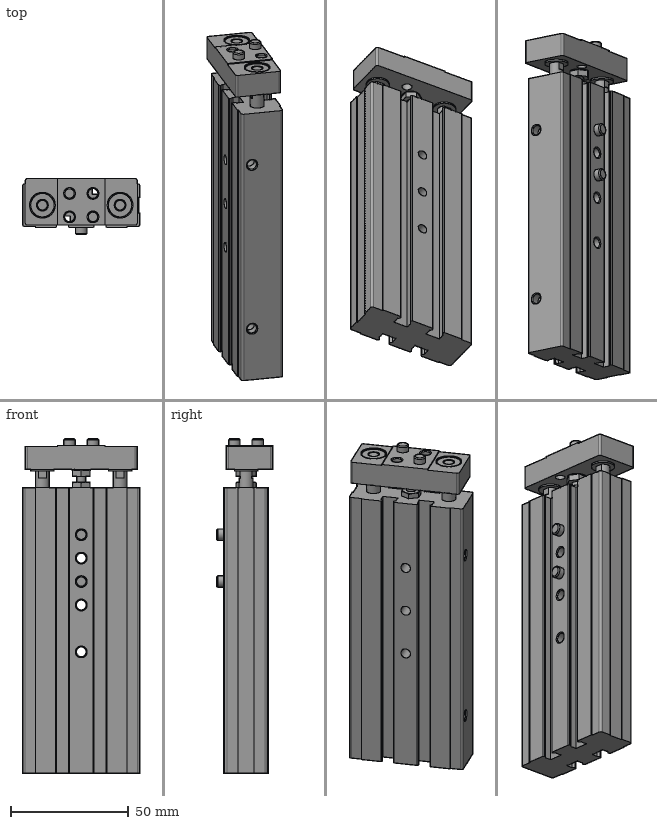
import cadquery as cq
import math


housing_width = 50.0
housing_height = 121.8
body_half_depth = 9.1
pad_half_depth = 9.5
pad_outer_x = 19.5
housing_corner_radius = 1.0
groove_depth = 0.4
groove_bottom_y = -3.4
groove_top_y = 3.3

slot_x = 8.0
slot_opening = 5.0
slot_inner_width = 6.5
slot_floor_y = 4.7
slot_shoulder_y = 7.5
slot_neck_y = 8.5
slot_edge_chamfer = 0.4

hole_diameter = 4.1
countersink_diameter = 5.0
countersink_depth = (countersink_diameter - hole_diameter) / 2
hole_pitch = 10.0
first_hole_drop = 20.1
pin_diameter = 5.0
pin_chamfer = 0.5
pin_seat_depth = 5.0
housing_pin_projection = 3.0
port_y = 4.5
port_upper_drop = 23.5
port_spacing = 74.9
port_depth = 4.3
drill_point_angle = 118

plate_gap = 7.7
plate_width = 47.8
plate_front_y = -8.5
plate_back_y = 11.4
plate_corner_radius = 1.0
plate_shoulder_height = 9.8
plate_land_width = 20.2
plate_land_height = 0.4
plate_hole_offset = hole_pitch / 2
total_height = 142.6

rod_x = 16.5
rod_diameter = 6.0
rod_seat_depth = 14.3
rod_head_diameter = 10.0
rod_collar_height = 0.7
rod_recess_diameter = 11.0
rod_recess_depth = 0.4
rod_centre_depth = 0.1
rod_flats_across = 5.0
rod_flats_height = 3.0

washer_diameter = 8.0
washer_thickness = 0.4
hex_across_flats = 7.5
nut_bottom_drop = 3.0
bolt_diameter = 4.0
bolt_head_height = 2.3
hex_chamfer_angle = 30

plate_bottom_z = housing_height + plate_gap
plate_shoulder_z = plate_bottom_z + plate_shoulder_height
plate_land_z = plate_shoulder_z + plate_land_height
rod_top_z = plate_shoulder_z - rod_recess_depth

first_hole_z = housing_height - first_hole_drop
housing_pin_zs = [first_hole_z - step * hole_pitch for step in (0, 2)]
housing_hole_zs = [first_hole_z - step * hole_pitch for step in (1, 3, 5)]
port_zs = [housing_height - port_upper_drop - step * port_spacing for step in (0, 1)]
plate_pin_points = [(-plate_hole_offset, plate_hole_offset), (plate_hole_offset, -plate_hole_offset)]
plate_hole_points = [(-plate_hole_offset, -plate_hole_offset), (plate_hole_offset, plate_hole_offset)]
rod_xs = [-rod_x, rod_x]

AXIS_X = cq.Vector(1, 0, 0)
AXIS_Y = cq.Vector(0, 1, 0)
AXIS_Z = cq.Vector(0, 0, 1)


def cylinder(diameter, length, start, direction):
    """Cylinder that grows from the start point along the direction."""
    return cq.Workplane(cq.Solid.makeCylinder(diameter / 2, length, cq.Vector(*start), direction))


def drill(depth, start, direction):
    """Countersunk drill shape whose mouth lies at the start point."""
    sink = cq.Solid.makeCone(
        countersink_diameter / 2, hole_diameter / 2, countersink_depth, cq.Vector(*start), direction
    )
    return cylinder(hole_diameter, depth, start, direction).union(cq.Workplane(sink))


def prism(width, y_min, y_max, z_min, z_max):
    """Box centred on X = 0."""
    return (
        cq.Workplane("XY", origin=(0, (y_min + y_max) / 2, z_min))
        .rect(width, y_max - y_min)
        .extrude(z_max - z_min)
    )


def slot_cutter(x, side):
    """T-slot open toward -Y (side = -1) or +Y (side = 1)."""
    half_opening = slot_opening / 2
    half_inner = slot_inner_width / 2
    half_mouth = half_opening + slot_edge_chamfer
    right_half = [
        (half_inner, slot_floor_y),
        (half_inner, slot_shoulder_y),
        (half_opening, slot_neck_y),
        (half_opening, pad_half_depth - slot_edge_chamfer),
        (half_mouth, pad_half_depth),
    ]
    left_half = [(-px, py) for px, py in reversed(right_half)]
    outline = [(x + px, side * py) for px, py in right_half + left_half]
    return cq.Workplane("XY").polyline(outline).close().extrude(housing_height)


def port_cutter(z):
    """Blind threaded port in the -X face with a conical drill point."""
    mouth_x = -housing_width / 2
    point_length = hole_diameter / 2 / math.tan(math.radians(drill_point_angle / 2))
    point = cq.Solid.makeCone(
        hole_diameter / 2, 0, point_length, cq.Vector(mouth_x + port_depth, port_y, z), AXIS_X
    )
    return drill(port_depth, (mouth_x, port_y, z), AXIS_X).union(cq.Workplane(point))


def make_housing():
    body = prism(housing_width, -body_half_depth, body_half_depth, 0, housing_height)
    body = body.edges("|Z").fillet(housing_corner_radius)
    body = body.union(prism(2 * pad_outer_x, -pad_half_depth, pad_half_depth, 0, housing_height))

    for x in (-slot_x, slot_x):
        for side in (-1, 1):
            body = body.cut(slot_cutter(x, side))

    groove = prism(2 * groove_depth, groove_bottom_y, groove_top_y, 0, housing_height)
    body = body.cut(groove.translate((housing_width / 2, 0, 0)))

    for z in housing_hole_zs:
        body = body.cut(drill(2 * pad_half_depth, (0, -pad_half_depth, z), AXIS_Y))
    for z in housing_pin_zs:
        body = body.cut(cylinder(pin_diameter, pin_seat_depth, (0, -pad_half_depth, z), AXIS_Y))
    for z in port_zs:
        body = body.cut(port_cutter(z))
    for x in rod_xs:
        body = body.cut(cylinder(rod_diameter, rod_seat_depth, (x, 0, housing_height), -AXIS_Z))
    return body


def hexagon(z_bottom, height):
    """Hexagon whose upper corners are bevelled by a cone; two of its flats face +X and -X."""
    corner_radius = hex_across_flats / math.sqrt(3)
    bevel_run = corner_radius - hex_across_flats / 2
    bevel_height = bevel_run * math.tan(math.radians(hex_chamfer_angle))
    block = (
        cq.Workplane("XY", origin=(0, 0, z_bottom))
        .polygon(6, 2 * corner_radius)
        .extrude(height)
        .rotate((0, 0, 0), (0, 0, 1), 30)
    )
    envelope = (
        cq.Workplane("XY", origin=(0, 0, z_bottom))
        .circle(corner_radius)
        .extrude(height)
        .faces(">Z")
        .chamfer(bevel_height, bevel_run)
    )
    return block.intersect(envelope)


def make_bumper():
    """Washer, lock nut and bolt whose head rests on the housing."""
    nut_bottom_z = plate_bottom_z - nut_bottom_drop
    washer = cylinder(washer_diameter, washer_thickness, (0, 0, plate_bottom_z), -AXIS_Z)
    nut = hexagon(nut_bottom_z, nut_bottom_drop)
    shank = cylinder(bolt_diameter, plate_gap, (0, 0, housing_height), AXIS_Z)
    head = hexagon(housing_height, bolt_head_height)
    return washer.union(nut).union(shank).union(head)


def make_end_plate():
    plate = prism(plate_width, plate_front_y, plate_back_y, plate_bottom_z, plate_shoulder_z)
    plate = plate.edges("|Z").fillet(plate_corner_radius)
    land = prism(plate_land_width, plate_front_y, plate_back_y, plate_bottom_z, plate_land_z)
    plate = plate.union(land)

    for x in rod_xs:
        plate = plate.cut(cylinder(rod_head_diameter, plate_shoulder_height, (x, 0, plate_bottom_z), AXIS_Z))
        plate = plate.cut(cylinder(rod_recess_diameter, rod_recess_depth, (x, 0, plate_shoulder_z), -AXIS_Z))
    for x, y in plate_hole_points:
        plate = plate.cut(drill(plate_land_z - plate_bottom_z, (x, y, plate_land_z), -AXIS_Z))
    for x, y in plate_pin_points:
        plate = plate.cut(cylinder(pin_diameter, pin_seat_depth, (x, y, plate_land_z), -AXIS_Z))

    return plate.union(make_bumper())


def make_guide_rod(x):
    collar_bottom_z = plate_bottom_z - rod_collar_height
    shaft_bottom_z = housing_height - rod_seat_depth
    shaft = cylinder(rod_diameter, collar_bottom_z - shaft_bottom_z, (x, 0, shaft_bottom_z), AXIS_Z)

    flats_bottom_z = collar_bottom_z - rod_flats_height
    for side in (-1, 1):
        low_y, high_y = sorted((side * rod_flats_across / 2, side * rod_diameter / 2))
        flat = prism(rod_diameter, low_y, high_y, flats_bottom_z, collar_bottom_z)
        shaft = shaft.cut(flat.translate((x, 0, 0)))

    head = cylinder(rod_head_diameter, rod_top_z - collar_bottom_z, (x, 0, collar_bottom_z), AXIS_Z)

    recess = cq.Solid.makeCone(
        countersink_diameter / 2, hole_diameter / 2, rod_centre_depth, cq.Vector(x, 0, rod_top_z), -AXIS_Z
    )
    return shaft.union(head).cut(cq.Workplane(recess))


def make_pin(projection, mouth, outward):
    """Locating pin seated in its hole; only the outer end is bevelled."""
    inner_end = cq.Vector(*mouth) - outward * pin_seat_depth
    pin = cylinder(pin_diameter, pin_seat_depth + projection, inner_end.toTuple(), outward)
    outer_edge = cq.DirectionMinMaxSelector(outward, True)
    return pin.faces(outer_edge).chamfer(pin_chamfer)


housing = make_housing()
end_plate = make_end_plate()
guide_rods = [make_guide_rod(x) for x in rod_xs]
housing_pins = [
    make_pin(housing_pin_projection, (0, -pad_half_depth, z), -AXIS_Y) for z in housing_pin_zs
]
plate_pins = [
    make_pin(total_height - plate_land_z, (x, y, plate_land_z), AXIS_Z) for x, y in plate_pin_points
]

repeated_bodies = guide_rods + housing_pins + plate_pins
result = cq.Compound.makeCompound(
    [housing.val(), end_plate.val(), *[body.val() for body in repeated_bodies]]
)